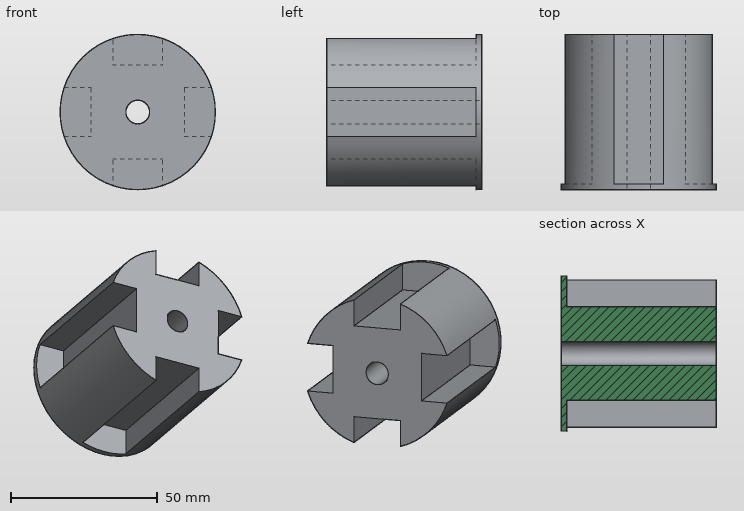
import cadquery as cq

diameter = 53.0
length = 53.0
flange_thickness = 2.0
bore_diameter = 8.0
slot_width = 16.75
slot_floor_radius = 16.0
slot_count = 4

radius = diameter / 2
slot_length = length - flange_thickness
slot_depth = radius - slot_floor_radius


def make_body():
    """Bored cylinder along Y, with the flange face at Y = 0."""
    return (
        cq.Workplane("XZ")
        .circle(radius)
        .circle(bore_diameter / 2)
        .extrude(-length)
    )


def make_slot_cutter(angle):
    """Block for one slot, turned about the Y axis from the +Z side."""
    return (
        cq.Workplane("XY")
        .box(slot_width, slot_length, slot_depth, centered=(True, False, False))
        .translate((0, flange_thickness, slot_floor_radius))
        .rotate((0, 0, 0), (0, 1, 0), angle)
    )


result = make_body()

for index in range(slot_count):
    result = result.cut(make_slot_cutter(index * 360 / slot_count))